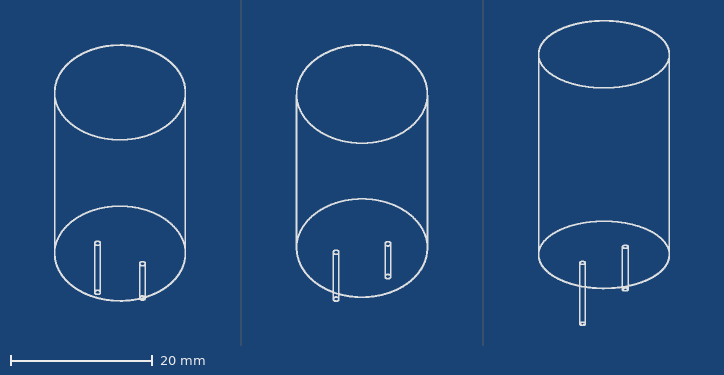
import cadquery as cq

total_height = 43.0
can_diameter = 18.5

lead_diameter = 0.8
lead_spacing = 7.5
long_lead_length = 10.0
short_lead_length = 7.0

can_height = total_height - long_lead_length


def make_can():
    """Plain cylindrical can standing on the plane Z = 0."""
    return cq.Workplane("XY").circle(can_diameter / 2).extrude(can_height)


def make_lead(x, length):
    """Round wire hanging down from the underside of the can."""
    return cq.Workplane("XY").center(x, 0).circle(lead_diameter / 2).extrude(-length)


can = make_can()

lead_layout = [
    (-lead_spacing / 2, long_lead_length),
    (lead_spacing / 2, short_lead_length),
]
leads = [make_lead(x, length).val() for x, length in lead_layout]

result = cq.Compound.makeCompound([can.val(), *leads])